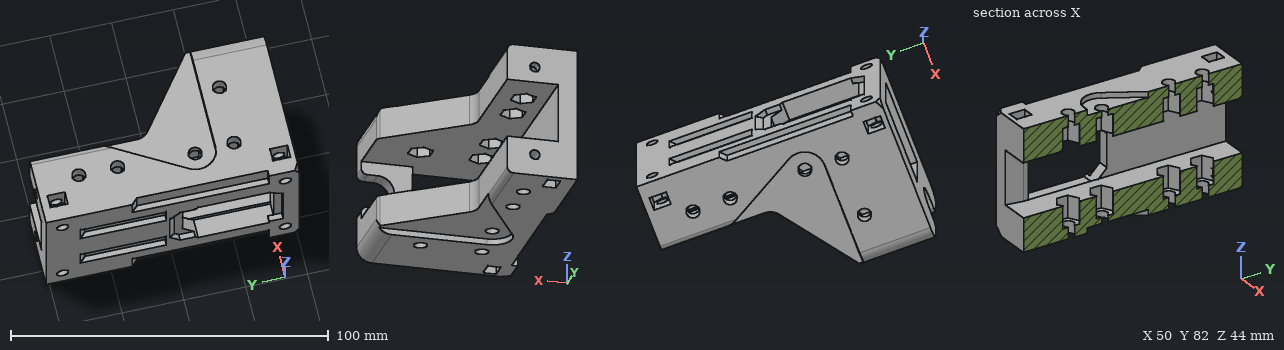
import cadquery as cq
import math

length = 82.0
width = 50.0
height = 44.0
mid_z = height / 2

arm_width = 23.0
foot_depth = 23.95
slope_foot_y = 24.85
slope_arm_y = 44.85
inner_corner_radius = 5.0
tip_radius = 2.0
foot_edge_radius = 4.9
skin_depth = 2.0
arm_edge_radius = skin_depth

channel_bottom = 12.4
channel_top = 31.8
front_wall = 6.0
side_wall = 6.3
window_left = 5.3
window_right = 33.3

notch_radius = 5.5
notch_center_x = 44.8
notch_edge_radius = 2.0

bolt_diameter = 4.3
bolt_pitch = 12.55
arm_bolt_x = 13.9
first_bolt_y = 17.95
web_bolt_y = first_bolt_y + bolt_pitch
foot_bolt_x = 33.95
bolts = [(arm_bolt_x, first_bolt_y + row * bolt_pitch) for row in (0, 1, 3, 4)]
bolts.append((foot_bolt_x, first_bolt_y))
nut_flats = 7.1
nut_depth = 8.0
recess_radius = web_bolt_y - foot_depth
recess_angle = 60.0

screw_diameter = 3.7
screw_depth = 13.9
screw_inset = 5.9
screw_ys = (4.6, 76.6)
screw_zs = (screw_inset, height - screw_inset)
slot_nut_flats = 5.65
slot_start_x = 4.9
slot_thickness = 4.3

end_hole_diameter = 3.1
end_hole_depth = 9.8
end_hole_inset = 7.05

opening_bottom = 10.9
opening_top = 32.2
opening_front = 7.95
opening_back = 37.4
opening_corner = 4.6
skin_window_front = 9.8
seat_front = 5.3
seat_back = 42.0
seat_bottom = 11.8
seat_top = 31.25
seat_corner = 3.4
seat_front_top = 29.4

edge_pocket = (9.8, 54.1)
edge_pocket_height = 5.5
slot_pocket = (43.05, 70.9)
slot_pocket_height = 6.0
slot_pocket_bottom = 10.3

corner_cut = (2.9, 1.5, 2.4)


def box(x0, x1, y0, y1, z0, z1):
    return cq.Workplane("XY").box(x1 - x0, y1 - y0, z1 - z0, centered=False).translate((x0, y0, z0))


def side_prism(points, depth):
    """Prism from the -X face inwards, outlined by (y, z) points."""
    return cq.Workplane("YZ").polyline(points).close().extrude(depth)


def mirrored(shape):
    """The shape together with its mirror image about mid height."""
    return shape.union(shape.mirror("XY", (0, 0, mid_z)))


def plan_block():
    """Plan outline at full height, with the long edges of the foot end rounded."""
    outline = [
        (0, 0),
        (width, 0),
        (width, slope_foot_y),
        (arm_width, slope_arm_y),
        (arm_width, length),
        (0, length),
    ]
    block = cq.Workplane("XY").polyline(outline).close().extrude(height)
    inner_corner = cq.NearestToPointSelector((arm_width, slope_arm_y, mid_z))
    block = block.edges(inner_corner).fillet(inner_corner_radius)
    tip = cq.NearestToPointSelector((width, slope_foot_y, mid_z))
    block = block.edges(tip).fillet(tip_radius)
    rounded_bar = box(0, width, 0, length, 0, height).edges("|Y and >X").fillet(foot_edge_radius)
    return block.intersect(rounded_bar)


def arm_edge_waste():
    """What rounding takes off the long free edges of the arm."""
    start = slope_arm_y + inner_corner_radius
    bar = box(0, arm_width, start, length, 0, height)
    return bar.cut(bar.edges("|Y and >X").fillet(arm_edge_radius))


def web_recess():
    """Recess over the web, rounded about the web bolt."""
    normal = math.radians(recess_angle + 90)
    middle = math.radians(recess_angle / 2 + 180)
    along = math.radians(recess_angle)

    def on_round(angle):
        return (
            arm_bolt_x + recess_radius * math.cos(angle),
            web_bolt_y + recess_radius * math.sin(angle),
        )

    tangent = on_round(normal)
    far = (tangent[0] + length * math.cos(along), tangent[1] + length * math.sin(along))
    return (
        cq.Workplane("XY")
        .moveTo(*tangent)
        .threePointArc(on_round(middle), (arm_bolt_x, foot_depth))
        .lineTo(far[0], foot_depth)
        .lineTo(*far)
        .close()
        .extrude(skin_depth)
    )


def channel():
    """Open channel between the flanges, and the front window with its sloped side."""
    outline = [
        (window_left, 0),
        (window_right, 0),
        (window_right, front_wall),
        (width, front_wall),
        (width, length),
        (side_wall, length),
        (side_wall, front_wall),
    ]
    channel_height = channel_top - channel_bottom
    return cq.Workplane("XY", (0, 0, channel_bottom)).polyline(outline).close().extrude(channel_height)


def notch():
    """Slot along Y, open at the free end of the front wall."""
    slot_length = 2 * (width - notch_center_x + notch_radius)
    slot = cq.Workplane("XZ", (width, 0, mid_z)).slot2D(slot_length, 2 * notch_radius)
    return slot.extrude(-front_wall)


def round_notch_mouth(part):
    for side in (-1, 1):
        edge = cq.NearestToPointSelector((width, front_wall / 2, mid_z + side * notch_radius))
        part = part.edges(edge).fillet(notch_edge_radius)
    return part


def bolt_cuts():
    """Bolt holes through both flanges, with nut pockets sunk into each from the channel."""
    holes = cq.Workplane("XY").pushPoints(bolts).circle(bolt_diameter / 2).extrude(height)
    nut_corners = nut_flats / math.cos(math.pi / 6)
    nut = cq.Workplane("XY").polygon(6, nut_corners).extrude(nut_depth)
    nut = nut.rotate((0, 0, 0), (0, 0, 1), 30)
    for x, y in bolts:
        holes = holes.union(nut.translate((x, y, channel_bottom - nut_depth)))
        holes = holes.union(nut.translate((x, y, channel_top)))
    return holes


def screw_cuts():
    """Blind screw holes in the -X face and the pointed slots that drop nuts onto them."""
    positions = [(y, z) for y in screw_ys for z in screw_zs]
    holes = cq.Workplane("YZ").pushPoints(positions).circle(screw_diameter / 2).extrude(screw_depth)
    half = slot_nut_flats / 2
    shoulder = half * math.tan(math.pi / 6)
    point = half / math.cos(math.pi / 6)
    for y in screw_ys:
        outline = [
            (y - half, 0),
            (y + half, 0),
            (y + half, screw_inset + shoulder),
            (y, screw_inset + point),
            (y - half, screw_inset + shoulder),
        ]
        slot = side_prism(outline, slot_thickness).translate((slot_start_x, 0, 0))
        holes = holes.union(mirrored(slot))
    return holes


def end_holes():
    """Holes in the +Y face that meet the upper and lower arm screw holes."""
    hole = (
        cq.Workplane("XZ", (arm_bolt_x, length, end_hole_inset))
        .circle(end_hole_diameter / 2)
        .extrude(end_hole_depth)
    )
    return mirrored(hole)


def ramped_pocket(span, bottom, pocket_height):
    """Shallow pocket in the -X face whose far end ramps up at 45 degrees."""
    start, end = span
    outline = [(0, start), (skin_depth, start), (skin_depth, end - skin_depth), (0, end)]
    return cq.Workplane("XY", (0, 0, bottom)).polyline(outline).close().extrude(pocket_height)


def window_outline(front):
    """(y, z) outline of the side window, square at the front and cut at the far corners."""
    return [
        (front, opening_bottom),
        (opening_back - opening_corner, opening_bottom),
        (opening_back, opening_bottom + opening_corner),
        (opening_back, opening_top - opening_corner),
        (opening_back - opening_corner, opening_top),
        (front, opening_top),
    ]


def side_window():
    """Window through the side wall; the skin covers more of its front end than the wall behind."""
    seat_outline = [
        (seat_front, seat_bottom),
        (seat_back - seat_corner, seat_bottom),
        (seat_back, seat_bottom + seat_corner),
        (seat_back, seat_top - seat_corner),
        (seat_back - seat_corner, seat_top),
        (skin_window_front, seat_top),
        (skin_window_front, opening_top),
        (seat_front, seat_front_top),
    ]
    seat = side_prism(seat_outline, skin_depth)
    seat = seat.intersect(ramped_pocket((seat_front, seat_back), 0, height))
    through_skin = side_prism(window_outline(skin_window_front), skin_depth)
    behind_skin = side_prism(window_outline(opening_front), side_wall - skin_depth)
    return seat.union(through_skin).union(behind_skin.translate((skin_depth, 0, 0)))


def corner_waste():
    """Corner pyramids, cut by a plane through one point on each edge of the corner."""
    x, y, z = corner_cut
    origin, along_x, along_y, along_z = (0, 0, 0), (x, 0, 0), (0, y, 0), (0, 0, z)
    corners = [
        (origin, along_x, along_y),
        (origin, along_x, along_z),
        (origin, along_y, along_z),
        (along_x, along_y, along_z),
    ]
    faces = [
        cq.Face.makeFromWires(cq.Wire.makePolygon([cq.Vector(*p) for p in points], close=True))
        for points in corners
    ]
    pyramid = cq.Solid.makeSolid(cq.Shell.makeShell(faces))
    return mirrored(cq.Workplane(pyramid))


body = plan_block().cut(mirrored(web_recess())).cut(arm_edge_waste())
body = body.cut(channel()).cut(notch())
body = body.cut(bolt_cuts()).cut(screw_cuts()).cut(end_holes()).cut(side_window())
body = body.cut(mirrored(ramped_pocket(edge_pocket, 0, edge_pocket_height)))
body = body.cut(mirrored(ramped_pocket(slot_pocket, slot_pocket_bottom, slot_pocket_height)))
body = body.cut(corner_waste())
result = round_notch_mouth(body)